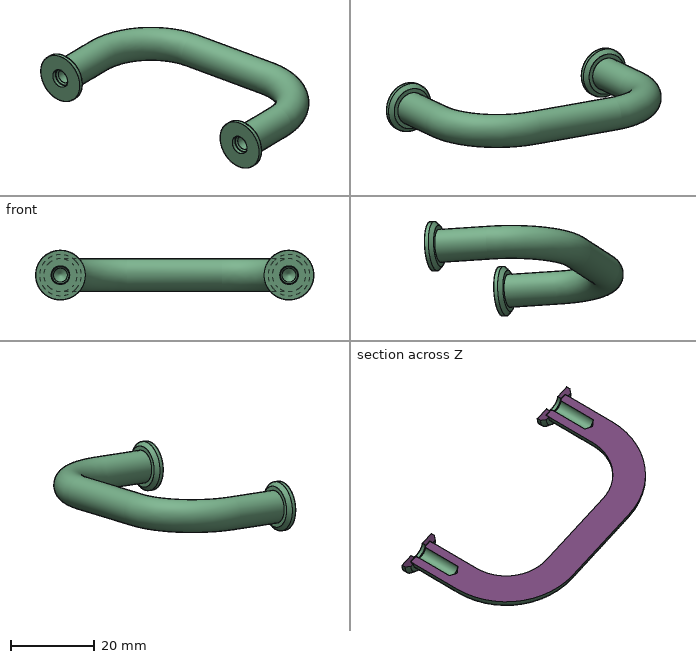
import cadquery as cq

overall_width = 67.0
overall_depth = 35.0

washer_diameter = 12.0
washer_thickness = 2.0
washer_chamfer = 1.0
washer_hole_diameter = 4.5
recess_depth = 1.0
recess_floor_y = washer_thickness - recess_depth

bar_diameter = 8.0
bend_outer_radius = 20.0
bend_radius = bend_outer_radius - bar_diameter / 2
leg_x = (overall_width - washer_diameter) / 2
crossbar_y = overall_depth - bar_diameter / 2
bend_start_y = crossbar_y - bend_radius
crossbar_half_length = leg_x - bend_radius

screw_hole_diameter = 3.35
screw_hole_mouth_diameter = 4.15
screw_hole_depth = 10.05
drill_point_depth = 1.0

foot_positions = (-leg_x, leg_x)


def make_bent_bar():
    """Sweep the round bar up one leg, across and down the other leg, ending on the washer recess floors."""
    path = (
        cq.Workplane("XY")
        .moveTo(-leg_x, recess_floor_y)
        .lineTo(-leg_x, bend_start_y)
        .radiusArc((-crossbar_half_length, crossbar_y), bend_radius)
        .lineTo(crossbar_half_length, crossbar_y)
        .radiusArc((leg_x, bend_start_y), bend_radius)
        .lineTo(leg_x, recess_floor_y)
    )
    return (
        cq.Workplane("XZ", origin=(-leg_x, recess_floor_y, 0))
        .circle(bar_diameter / 2)
        .sweep(path)
    )


def make_screw_hole(x):
    """Revolve the blind hole about the leg axis, starting at the foot face."""
    hole_radius = screw_hole_diameter / 2
    mouth_radius = screw_hole_mouth_diameter / 2
    countersink_depth = mouth_radius - hole_radius
    return (
        cq.Workplane("XY", origin=(x, recess_floor_y, 0))
        .lineTo(mouth_radius, 0)
        .lineTo(hole_radius, countersink_depth)
        .lineTo(hole_radius, screw_hole_depth)
        .lineTo(0, screw_hole_depth + drill_point_depth)
        .close()
        .revolve(360, (0, 0, 0), (0, 1, 0))
    )


def make_handle():
    handle = make_bent_bar()
    for x in foot_positions:
        handle = handle.cut(make_screw_hole(x))
    return handle


def make_washer(x):
    """Make a ring, chamfered on the handle side, with a recess that seats the bar end."""
    foot_recess = (
        cq.Workplane("XZ", origin=(x, recess_floor_y, 0))
        .circle(bar_diameter / 2)
        .extrude(-recess_depth)
    )
    return (
        cq.Workplane("XZ", origin=(x, 0, 0))
        .circle(washer_diameter / 2)
        .extrude(-washer_thickness)
        .faces(">Y")
        .chamfer(washer_chamfer)
        .faces("<Y")
        .workplane(origin=(x, 0, 0))
        .circle(washer_hole_diameter / 2)
        .cutThruAll()
        .cut(foot_recess)
    )


handle = make_handle()
washers = [make_washer(x) for x in foot_positions]

result = cq.Compound.makeCompound([handle.val(), *(washer.val() for washer in washers)])